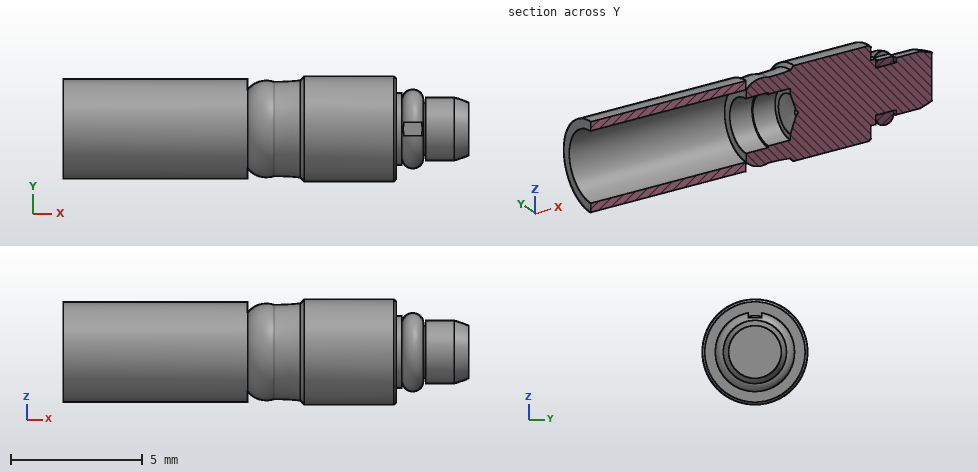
import cadquery as cq

total_length = 15.4

sleeve_length = 7.0
sleeve_radius = 1.9
sleeve_bore_radius = 1.5

dome_peak_x = sleeve_length + 0.74
dome_peak_radius = 1.845
dome_end_x = sleeve_length + 1.0
dome_end_radius = 1.8
neck_middle_radius = 1.81
neck_end_radius = 1.85

grip_start_x = 9.0
grip_length = 3.65
grip_radius = 2.005
grip_front_chamfer = 0.1
grip_back_chamfer = grip_radius - neck_end_radius
grip_end_x = grip_start_x + grip_length
neck_middle_x = (dome_end_x + grip_start_x) / 2

collar_radius = 1.375
collar_end_x = grip_end_x + 0.21
groove_radius = 1.0
groove_width = 0.9
groove_end_x = collar_end_x + groove_width
nose_radius = 1.2
nose_tip_radius = 1.0
nose_taper_length = 0.55
nose_taper_start_x = total_length - nose_taper_length
nose_taper_middle_x = total_length - nose_taper_length / 2
nose_taper_middle_radius = 1.115

recess_radius = 1.137
recess_depth = 1.0
inner_recess_radius = 1.07
inner_recess_depth = 1.0
cone_radius = 0.83
cone_depth = 0.26
cone_tip_radius = 0.1
cone_tip_depth = 0.1
recess_step_x = sleeve_length + recess_depth
recess_floor_x = recess_step_x + inner_recess_depth
cone_end_x = recess_floor_x + cone_depth
cone_tip_x = cone_end_x + cone_tip_depth

ring_section_radius = 0.41
ring_outer_radius = 1.505
ring_centre_radius = ring_outer_radius - ring_section_radius
ring_centre_x = collar_end_x + ring_section_radius
notch_width = 0.5
notch_floor_z = 1.3


def revolve_about_x(profile):
    """Turn a profile drawn as (x, radius) once around the X axis."""
    return profile.close().revolve(360, (0, 0, 0), (1, 0, 0))


def make_sleeve():
    tube = cq.Workplane("YZ").circle(sleeve_radius).circle(sleeve_bore_radius)
    return tube.extrude(sleeve_length)


def make_housing():
    profile = (
        cq.Workplane("XY")
        .moveTo(sleeve_length, recess_radius)
        .lineTo(sleeve_length, sleeve_bore_radius)
        .threePointArc((dome_peak_x, dome_peak_radius), (dome_end_x, dome_end_radius))
        .threePointArc((neck_middle_x, neck_middle_radius), (grip_start_x, neck_end_radius))
        .lineTo(grip_start_x + grip_back_chamfer, grip_radius)
        .lineTo(grip_end_x - grip_front_chamfer, grip_radius)
        .lineTo(grip_end_x, grip_radius - grip_front_chamfer)
        .lineTo(grip_end_x, collar_radius)
        .lineTo(collar_end_x, collar_radius)
        .lineTo(collar_end_x, groove_radius)
        .lineTo(groove_end_x, groove_radius)
        .lineTo(groove_end_x, nose_radius)
        .lineTo(nose_taper_start_x, nose_radius)
        .threePointArc(
            (nose_taper_middle_x, nose_taper_middle_radius),
            (total_length, nose_tip_radius),
        )
        .lineTo(total_length, 0)
        .lineTo(cone_tip_x, 0)
        .lineTo(cone_end_x, cone_tip_radius)
        .lineTo(recess_floor_x, cone_radius)
        .lineTo(recess_floor_x, inner_recess_radius)
        .lineTo(recess_step_x, inner_recess_radius)
        .lineTo(recess_step_x, recess_radius)
    )
    return revolve_about_x(profile)


def make_snap_ring():
    """Round-section ring, flat where it seats on the groove floor, notched on its +Z side."""
    section_circle = cq.Workplane("XY").center(ring_centre_x, ring_centre_radius)
    torus = section_circle.circle(ring_section_radius).revolve(
        360, (-ring_centre_x, -ring_centre_radius, 0), (0, -ring_centre_radius, 0)
    )
    groove_core = cq.Workplane("YZ").circle(groove_radius).extrude(total_length)
    notch = (
        cq.Workplane("XY", origin=(ring_centre_x, 0, notch_floor_z))
        .rect(2 * ring_section_radius, notch_width)
        .extrude(ring_outer_radius)
    )
    return torus.cut(groove_core).cut(notch)


sleeve = make_sleeve()
housing = make_housing()
snap_ring = make_snap_ring()

result = cq.Compound.makeCompound([sleeve.val(), housing.val(), snap_ring.val()])